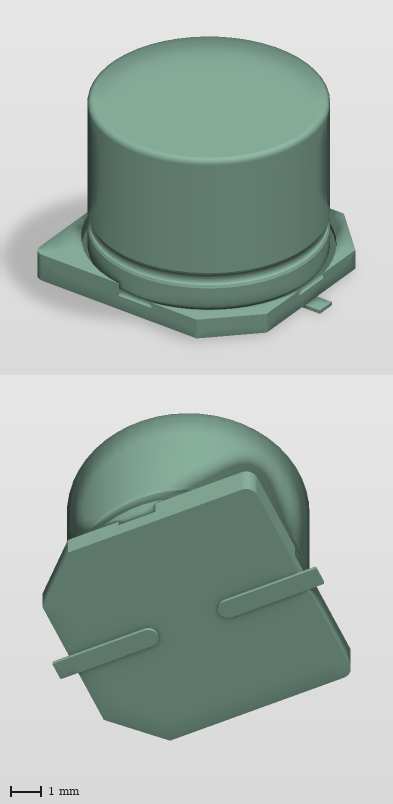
import cadquery as cq
import math

overall_length = 9.5
overall_height = 6.5
base_side = 8.3

lead_width = 0.67
lead_thickness = 0.13
lead_gap = 2.21

base_top = 1.13
low_corner_top = 0.855
seat_floor = 0.66
corner_radius = 0.39
corner_chamfer = 1.65
notch_width = 1.33
seat_radius = math.hypot(base_side / 2, notch_width / 2)

can_diameter = 8.0
can_radius = can_diameter / 2
rim_radius = 0.2
groove_bottom = 1.56
groove_top = 2.15
groove_depth = 0.19
lip_height = 0.095
lip_depth = 0.05


def make_base():
    """Square plate with a round seat that breaks through the middle of each side."""
    plate = cq.Workplane("XY").box(
        base_side, base_side, base_top - lead_thickness, centered=(True, True, False)
    )
    plate = plate.edges("|Z and <X").fillet(corner_radius)
    plate = plate.edges("|Z and >X").chamfer(corner_chamfer)
    plate = plate.translate((0, 0, lead_thickness))
    low_side = (
        cq.Workplane("XY", origin=(base_side / 2, 0, low_corner_top))
        .rect(base_side, base_side)
        .extrude(base_top - low_corner_top)
    )
    seat = (
        cq.Workplane("XY", origin=(0, 0, seat_floor))
        .circle(seat_radius)
        .extrude(base_top - seat_floor)
    )
    return plate.cut(low_side).cut(seat)


def make_can():
    """Revolved can with a concave groove between two small sloped lips."""
    lip_radius = can_radius - lip_depth
    groove_middle = (groove_bottom + groove_top) / 2
    profile = (
        cq.Workplane("XZ")
        .moveTo(0, seat_floor)
        .lineTo(can_radius, seat_floor)
        .lineTo(can_radius, groove_bottom)
        .lineTo(lip_radius, groove_bottom + lip_height)
        .threePointArc(
            (can_radius - groove_depth, groove_middle),
            (lip_radius, groove_top - lip_height),
        )
        .lineTo(can_radius, groove_top)
        .lineTo(can_radius, overall_height)
        .lineTo(0, overall_height)
        .close()
    )
    can = profile.revolve(360, (0, 0, 0), (0, 1, 0))
    return can.faces("<Z or >Z").edges().fillet(rim_radius)


def make_lead(side):
    """Flat lead with a full-round inner end; side is -1 for -X or 1 for +X."""
    half_width = lead_width / 2
    outer_x = side * overall_length / 2
    inner_x = side * lead_gap / 2
    round_start_x = inner_x + side * half_width
    return (
        cq.Workplane("XY")
        .moveTo(outer_x, -half_width)
        .lineTo(round_start_x, -half_width)
        .threePointArc((inner_x, 0), (round_start_x, half_width))
        .lineTo(outer_x, half_width)
        .close()
        .extrude(lead_thickness)
    )


result = make_base().union(make_can())
for lead_side in (-1, 1):
    result = result.union(make_lead(lead_side))